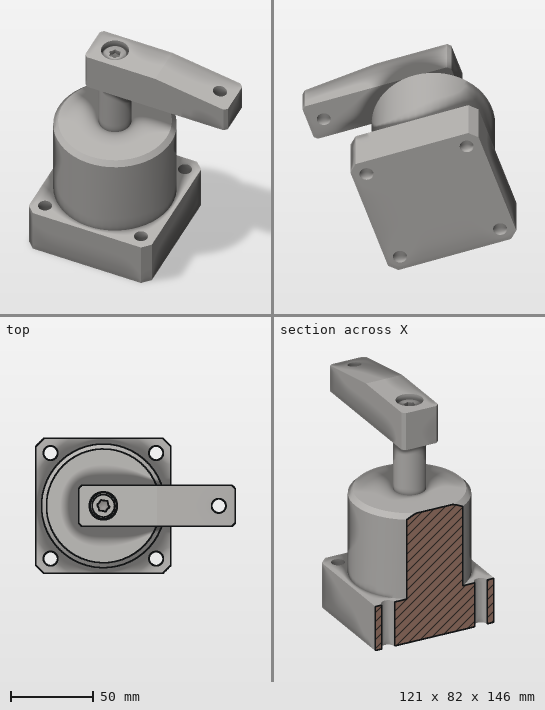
import cadquery as cq
import math

flange_side = 82.0
flange_height = 30.0
flange_corner_chamfer = 5.0
mount_hole_spacing = 64.0
mount_hole_diameter = 8.5
barrel_diameter = 75.0
barrel_top_z = 86.5
barrel_chamfer = 3.0

arm_length = 95.0
arm_width = 25.0
arm_height = 25.0
arm_bottom_z = 121.0
arm_top_z = arm_bottom_z + arm_height
arm_back_x = -15.0
arm_tip_x = arm_back_x + arm_length
taper_start_x = 32.5
taper_angle = 9.5
arm_tip_drop = (arm_tip_x - taper_start_x) * math.tan(math.radians(taper_angle))
arm_corner_chamfer = 2.0
tip_hole_x = 70.0
tip_hole_diameter = 8.5

rod_diameter = 20.0

screw_head_diameter = 16.0
screw_head_height = 10.0
screw_head_chamfer = 1.2
screw_head_recess = 3.0
screw_shank_diameter = 10.0
screw_reach_into_rod = 15.0
socket_lobes = 6
socket_tip_diameter = 7.6
socket_waist_diameter = 6.2
socket_turn = -8.0
socket_wall_depth = 3.0
socket_tip_angle = 150.0
socket_tip_depth = socket_tip_diameter / 2 / math.tan(math.radians(socket_tip_angle / 2))
counterbore_diameter = 17.0
screw_head_top_z = arm_top_z - screw_head_recess
screw_seat_z = screw_head_top_z - screw_head_height
screw_end_z = arm_bottom_z - screw_reach_into_rod


def cylinder(diameter, bottom_z, top_z, x=0.0):
    """Upright cylinder between two heights."""
    return cq.Workplane("XY", origin=(x, 0, bottom_z)).circle(diameter / 2).extrude(top_z - bottom_z)


def make_housing():
    flange = (
        cq.Workplane("XY")
        .rect(flange_side, flange_side)
        .extrude(flange_height)
        .edges("|Z")
        .chamfer(flange_corner_chamfer)
    )
    mount_holes = (
        cq.Workplane("XY")
        .rect(mount_hole_spacing, mount_hole_spacing, forConstruction=True)
        .vertices()
        .circle(mount_hole_diameter / 2)
        .extrude(flange_height)
    )
    barrel = cylinder(barrel_diameter, flange_height, barrel_top_z)
    barrel = barrel.faces(">Z").edges().chamfer(barrel_chamfer)
    return flange.cut(mount_holes).union(barrel)


def make_rod():
    rod = cylinder(rod_diameter, barrel_top_z, arm_bottom_z)
    screw_hole = cylinder(screw_shank_diameter, screw_end_z, arm_bottom_z)
    return rod.cut(screw_hole)


def make_arm():
    side_outline = [
        (arm_back_x, arm_bottom_z),
        (arm_tip_x, arm_bottom_z),
        (arm_tip_x, arm_top_z - arm_tip_drop),
        (taper_start_x, arm_top_z),
        (arm_back_x, arm_top_z),
    ]
    arm = (
        cq.Workplane("XZ")
        .polyline(side_outline)
        .close()
        .extrude(arm_width / 2, both=True)
        .edges("|Z")
        .chamfer(arm_corner_chamfer)
    )
    screw_hole = cylinder(screw_shank_diameter, arm_bottom_z, screw_seat_z)
    counterbore = cylinder(counterbore_diameter, screw_seat_z, arm_top_z)
    tip_hole = cylinder(tip_hole_diameter, arm_bottom_z, arm_top_z, tip_hole_x)
    return arm.cut(screw_hole).cut(counterbore).cut(tip_hole)


def socket_outline():
    """Points of the smooth socket outline, alternating between lobe tips and waists."""
    half_pitch = math.pi / socket_lobes
    points = []
    for lobe in range(socket_lobes):
        tip_direction = math.radians(socket_turn) + 2 * half_pitch * lobe
        for diameter, direction in (
            (socket_tip_diameter, tip_direction),
            (socket_waist_diameter, tip_direction + half_pitch),
        ):
            points.append((diameter / 2 * math.cos(direction), diameter / 2 * math.sin(direction)))
    return points


def make_socket():
    """Six-lobed driver socket that ends in a shallow cone."""
    wall_end_z = screw_head_top_z - socket_wall_depth
    tip_z = wall_end_z - socket_tip_depth
    lobed_bore = (
        cq.Workplane("XY", origin=(0, 0, tip_z))
        .spline(socket_outline(), periodic=True)
        .close()
        .extrude(screw_head_top_z - tip_z)
    )
    pointed_bore = (
        cq.Workplane("XZ")
        .moveTo(0, tip_z)
        .lineTo(socket_tip_diameter / 2, wall_end_z)
        .lineTo(socket_tip_diameter / 2, screw_head_top_z)
        .lineTo(0, screw_head_top_z)
        .close()
        .revolve(360, (0, 0, 0), (0, 1, 0))
    )
    return lobed_bore.intersect(pointed_bore)


def make_screw():
    head = cylinder(screw_head_diameter, screw_seat_z, screw_head_top_z)
    head = head.faces(">Z").edges().chamfer(screw_head_chamfer)
    shank = cylinder(screw_shank_diameter, screw_end_z, screw_seat_z)
    return head.union(shank).cut(make_socket())


housing = make_housing()
rod = make_rod()
arm = make_arm()
screw = make_screw()

result = cq.Compound.makeCompound([housing.val(), rod.val(), arm.val(), screw.val()])